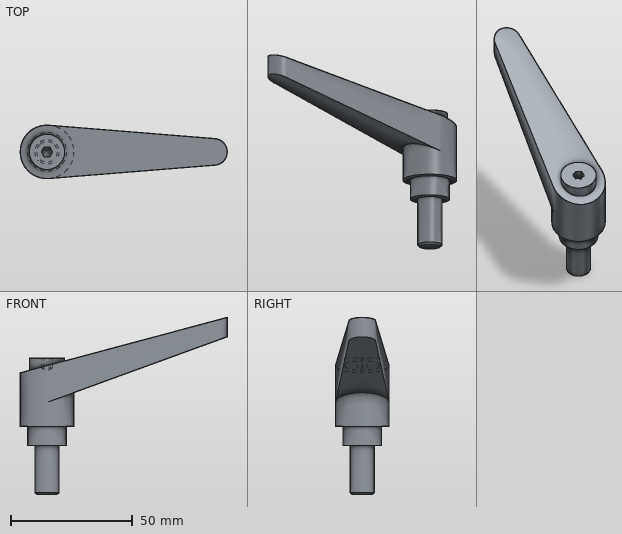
import cadquery as cq
import math


stud_diameter = 10.0
stud_length = 20.0
stud_chamfer = 0.8

collar_diameter = 16.0
collar_height = 8.0
hub_radius = 11.0

arm_length = 68.5
tip_radius = 5.5
top_angle = 15.0
bottom_angle = 20.0
overall_height = 72.7
tip_thickness = 8.0

button_diameter = 14.5
button_top = 36.0
socket_across_flats = 4.0
socket_depth = 4.0
socket_point_angle = 120.0

tip_x = arm_length + tip_radius
tip_top = overall_height - stud_length
tip_bottom = tip_top - tip_thickness
top_slope = math.tan(math.radians(top_angle))
bottom_slope = math.tan(math.radians(bottom_angle))


def top_height(x):
    """Height of the sloping upper face at x."""
    return tip_top - (tip_x - x) * top_slope


def bottom_height(x):
    """Height of the sloping lower face of the arm at x."""
    return tip_bottom - (tip_x - x) * bottom_slope


def side_prism(points):
    """Prism across the full hub width from a side profile in X and Z."""
    return cq.Workplane("XZ").polyline(points).close().extrude(hub_radius, both=True)


def make_stud():
    stud = cq.Workplane("XY").circle(stud_diameter / 2).extrude(-stud_length)
    return stud.faces("<Z").chamfer(stud_chamfer)


def make_collar():
    return cq.Workplane("XY").circle(collar_diameter / 2).extrude(collar_height)


def make_hub():
    """Cylinder cut off by the sloping upper face."""
    hub = cq.Workplane("XY").workplane(offset=collar_height).circle(hub_radius)
    below_top_face = side_prism([
        (-hub_radius, collar_height),
        (hub_radius, collar_height),
        (hub_radius, top_height(hub_radius)),
        (-hub_radius, top_height(-hub_radius)),
    ])
    return hub.extrude(tip_top).intersect(below_top_face)


def make_arm():
    """Plan outline with flanks tangent to hub and tip, trimmed to the wedge-shaped side profile."""
    tangent_sine = (hub_radius - tip_radius) / arm_length
    tangent_cosine = math.sqrt(1 - tangent_sine ** 2)
    start_x = hub_radius * tangent_sine
    start_y = hub_radius * tangent_cosine
    end_x = arm_length + tip_radius * tangent_sine
    end_y = tip_radius * tangent_cosine
    plan = (
        cq.Workplane("XY")
        .moveTo(start_x, -start_y)
        .lineTo(end_x, -end_y)
        .threePointArc((tip_x, 0), (end_x, end_y))
        .lineTo(start_x, start_y)
        .close()
        .extrude(tip_top)
    )
    wedge = side_prism([
        (start_x, bottom_height(start_x)),
        (tip_x, tip_bottom),
        (tip_x, tip_top),
        (start_x, top_height(start_x)),
    ])
    return plan.intersect(wedge)


def make_button():
    button = cq.Workplane("XY").workplane(offset=collar_height).circle(button_diameter / 2)
    return button.extrude(button_top - collar_height)


def make_socket():
    """Hexagonal cavity ending in a conical drill point."""
    corner_radius = socket_across_flats / math.sqrt(3)
    point_depth = corner_radius / math.tan(math.radians(socket_point_angle / 2))
    hexagon = (
        cq.Workplane("XY")
        .workplane(offset=button_top)
        .polygon(6, 2 * corner_radius)
        .extrude(-(socket_depth + point_depth))
    )
    drill = (
        cq.Workplane("XZ")
        .moveTo(0, button_top)
        .lineTo(corner_radius, button_top)
        .lineTo(corner_radius, button_top - socket_depth)
        .lineTo(0, button_top - socket_depth - point_depth)
        .close()
        .revolve(360, (0, 0, 0), (0, 1, 0))
    )
    return hexagon.intersect(drill)


lever = make_hub().union(make_arm())
body = lever.union(make_collar()).union(make_stud()).union(make_button())
result = body.cut(make_socket())